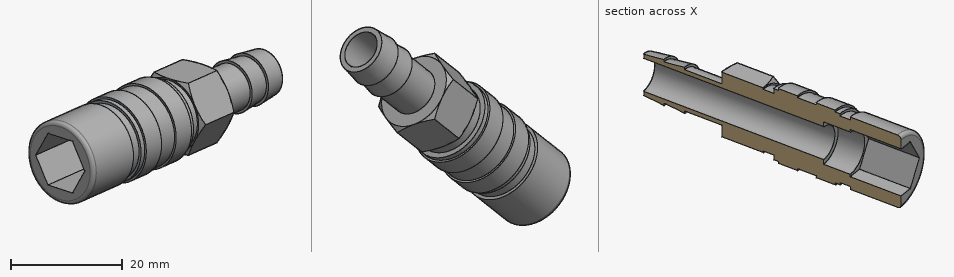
import cadquery as cq
import math

length = 56.0

sleeve_diameter = 15.7
front_neck_diameter = 14.45
shoulder_diameter = 15.4
ring_diameter = 16.2
rear_neck_diameter = 13.4
tail_diameter = 9.0
barb_diameter = 10.0
bore_diameter = 7.0
counterbore_diameter = tail_diameter

sleeve_length = 11.05
front_neck_length = 2.25
shoulder_length = 1.0
ring_length = 4.2
ring_gap = 4.05
rear_neck_length = 2.25
nut_length = 9.1
barb_length = 4.5
barb_count = 2

nut_across_flats = 14.0
nut_chamfer_angle = 30.0
socket_across_flats = 10.0
socket_depth = sleeve_length
counterbore_depth = 16.8
sleeve_fillet = 0.8

hex_corner_ratio = 1 / math.cos(math.pi / 6)


def cylinder(start, size, diameter):
    """Solid cylinder on the Y axis, growing toward the hose tail."""
    plane = cq.Workplane("XZ", origin=(0, start, 0))
    return plane.circle(diameter / 2).extrude(-size)


def hexagon(start, size, across_flats):
    """Hexagonal prism on the Y axis with corners on +X and -X."""
    plane = cq.Workplane("XZ", origin=(0, start, 0))
    return plane.polygon(6, across_flats * hex_corner_ratio).extrude(-size)


def chamfered_nut(start):
    """Hexagon nut with its corners turned to a cone at both ends."""
    flat_radius = nut_across_flats / 2
    corner_radius = flat_radius * hex_corner_ratio
    cone_length = (corner_radius - flat_radius) * math.tan(math.radians(nut_chamfer_angle))
    end = start + nut_length
    envelope = (
        cq.Workplane("XY")
        .moveTo(0, start)
        .lineTo(flat_radius, start)
        .lineTo(corner_radius, start + cone_length)
        .lineTo(corner_radius, end - cone_length)
        .lineTo(flat_radius, end)
        .lineTo(0, end)
        .close()
        .revolve(360, (0, 0, 0), (0, 1, 0))
    )
    return hexagon(start, nut_length, nut_across_flats).intersect(envelope)


def barb(start):
    """Hose barb tapering from its sharp rim down to the tail diameter."""
    plane = cq.Workplane("XZ", origin=(0, start, 0))
    return (
        plane.circle(barb_diameter / 2)
        .workplane(offset=-barb_length)
        .circle(tail_diameter / 2)
        .loft(ruled=True)
    )


body = cylinder(0, sleeve_length, sleeve_diameter).faces("<Y").edges().fillet(sleeve_fillet)
turned_steps = [
    (front_neck_length, front_neck_diameter),
    (shoulder_length, shoulder_diameter),
    (ring_length, ring_diameter),
    (ring_gap, shoulder_diameter),
    (ring_length, ring_diameter),
    (shoulder_length, shoulder_diameter),
    (rear_neck_length, rear_neck_diameter),
]
position = sleeve_length
for step_length, step_diameter in turned_steps:
    body = body.union(cylinder(position, step_length, step_diameter))
    position += step_length

body = body.union(chamfered_nut(position))
tail_start = position + nut_length
barbs_start = length - barb_count * barb_length
body = body.union(cylinder(tail_start, barbs_start - tail_start, tail_diameter))
for index in range(barb_count):
    body = body.union(barb(barbs_start + index * barb_length))

body = body.cut(hexagon(0, socket_depth, socket_across_flats))
body = body.cut(cylinder(0, counterbore_depth, counterbore_diameter))
result = body.cut(cylinder(0, length, bore_diameter))